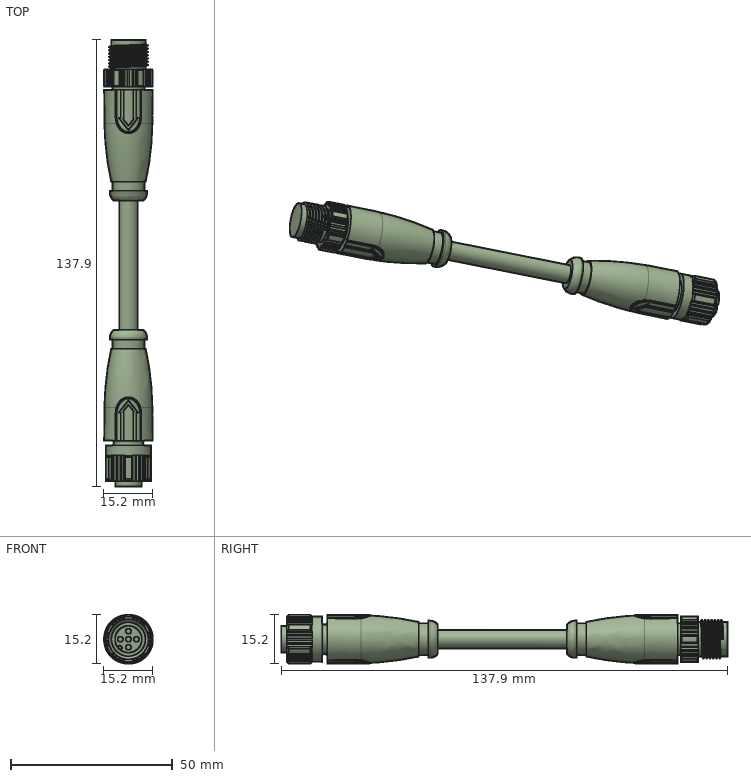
import cadquery as cq
import math


TOTAL_LENGTH = 137.9
CABLE_RADIUS = 2.9
OUTER_RADIUS = 7.6

BODY_LENGTH = 28.3
BODY_RADIUS = 7.6
BODY_SHOULDER_RADIUS = 7.5
BODY_SHOULDER_DEPTH = 10.3
BODY_TAIL_RADIUS = 5.4
RELIEF_LENGTH = 2.9
RELIEF_RADIUS = 5.0
COLLAR_LENGTH = 3.0
COLLAR_RADIUS = 5.8
COLLAR_RIM_LENGTH = 0.5
COLLAR_TAIL_RADIUS = 4.5

PAD_LENGTH = 13.0
PAD_STRAIGHT = 8.3
PAD_HALF_WIDTH = 3.6
PAD_MOAT_WIDTH = 0.4
PAD_MOAT_FLOOR_RADIUS = 7.0
ARROW_SHAFT_LENGTH = 8.5
ARROW_SHAFT_HALF_WIDTH = 2.3
ARROW_HEAD_HALF_WIDTH = 3.0
ARROW_TIP = 12.4
ARROW_GROOVE_WIDTH = 0.8
ARROW_GROOVE_DEPTH = 0.4

GRIP_RADIUS = 7.0
LOBE_COUNT = 6
LOBE_PITCH = 360 / LOBE_COUNT
LOBE_TOP_HALF_WIDTH = 1.0
LOBE_FOOT_HALF_WIDTH = 1.4
GROOVE_RADIUS = 0.4
GROOVE_ANGLES = (14, 24, 36, 46)

THREAD_PITCH = 1.0
THREAD_ROOT_RADIUS = 5.4
THREAD_CREST_RADIUS = 6.0
THREAD_FOOT_WIDTH = 0.91
THREAD_SINK = 0.1
THREAD_START = 1.2
THREAD_END = 8.8
PLUG_GRIP_START = 9.1
PLUG_GRIP_END = 14.5
PLUG_BODY_START = 15.5
PLUG_LOBE_CHAMFER = 0.3

INSERT_RADIUS = 4.1
INSERT_PROUD = 1.7
SOCKET_GRIP_END = 9.7
SOCKET_NUT_END = 12.7
SOCKET_BODY_START = 14.2
SOCKET_LOBE_CHAMFER = 0.7
NECK_WAIST = 0.4
BORE_RADIUS = 5.2
BORE_MOUTH_RADIUS = 6.2
BORE_MOUTH_DEPTH = 1.0
BORE_DEPTH = 6.9
CONTACT_CIRCLE_RADIUS = 2.5
CONTACT_RADIUS = 0.8
OUTER_CONTACT_COUNT = 4
CONTACT_DEPTH = 4.1
KEYWAY_WIDTH = 1.1
KEYWAY_HEIGHT = 1.0
KEYWAY_LENGTH = 6.9
KEYWAY_ANGLE = 135


def cylinder(radius, start, end):
    return cq.Workplane("XY").workplane(offset=start).circle(radius).extrude(end - start)


def pad_outline(start, margin):
    """Bullet shape of the pad, square at the nut end and widened all round by a margin."""
    half_width = PAD_HALF_WIDTH + margin
    shoulder = start + PAD_STRAIGHT
    tip = start + PAD_LENGTH + margin
    return (
        cq.Workplane("XZ")
        .moveTo(half_width, start)
        .lineTo(half_width, shoulder)
        .ellipseArc(half_width, tip - shoulder, 0, 90, startAtCurrent=True)
        .ellipseArc(half_width, tip - shoulder, 90, 180, startAtCurrent=True)
        .lineTo(-half_width, start)
        .close()
    )


def arrow_outline(start):
    """Arrow pointing to the cable, its tail running out past the nut end of the body."""
    shaft_end = start + ARROW_SHAFT_LENGTH
    return (
        cq.Workplane("XZ")
        .moveTo(-ARROW_SHAFT_HALF_WIDTH, start - ARROW_GROOVE_WIDTH)
        .lineTo(-ARROW_SHAFT_HALF_WIDTH, shaft_end)
        .lineTo(-ARROW_HEAD_HALF_WIDTH, shaft_end)
        .lineTo(0, start + ARROW_TIP)
        .lineTo(ARROW_HEAD_HALF_WIDTH, shaft_end)
        .lineTo(ARROW_SHAFT_HALF_WIDTH, shaft_end)
        .lineTo(ARROW_SHAFT_HALF_WIDTH, start - ARROW_GROOVE_WIDTH)
        .close()
    )


def grip_body(start):
    """Barrel, relief groove and rounded collar behind the nut."""
    tail = start + BODY_LENGTH
    collar = tail + RELIEF_LENGTH
    end = collar + COLLAR_LENGTH
    body = (
        cq.Workplane("XZ")
        .moveTo(0, start)
        .lineTo(BODY_RADIUS, start)
        .lineTo(BODY_SHOULDER_RADIUS, start + BODY_SHOULDER_DEPTH)
        .tangentArcPoint((BODY_TAIL_RADIUS, tail), relative=False)
        .lineTo(RELIEF_RADIUS, tail)
        .lineTo(RELIEF_RADIUS, collar)
        .lineTo(COLLAR_RADIUS, collar)
        .lineTo(COLLAR_RADIUS, collar + COLLAR_RIM_LENGTH)
        .tangentArcPoint((COLLAR_TAIL_RADIUS, end), relative=False)
        .lineTo(0, end)
        .close()
        .revolve(360, (0, 0, 0), (0, 1, 0))
    )
    reach = 2 * OUTER_RADIUS
    moat = (
        pad_outline(start, PAD_MOAT_WIDTH)
        .extrude(reach, both=True)
        .cut(cylinder(PAD_MOAT_FLOOR_RADIUS, start, start + BODY_LENGTH))
    )
    pad = (
        pad_outline(start, 0)
        .extrude(reach, both=True)
        .intersect(cylinder(OUTER_RADIUS, start, start + PAD_LENGTH))
    )
    groove = (
        arrow_outline(start).extrude(reach, both=True)
        .cut(arrow_outline(start).offset2D(-ARROW_GROOVE_WIDTH).extrude(reach, both=True))
        .cut(cylinder(OUTER_RADIUS - ARROW_GROOVE_DEPTH, start - ARROW_GROOVE_WIDTH, start + PAD_LENGTH))
    )
    return body.cut(moat).union(pad).cut(groove)


def grip_ring(start, end, first_lobe_angle, lobe_chamfer):
    """Ring with raised lobes and fine axial grooves between them."""
    ring = cylinder(GRIP_RADIUS, start, end)
    lobe = (
        cq.Workplane("XY")
        .workplane(offset=start)
        .polyline([
            (0, -LOBE_FOOT_HALF_WIDTH),
            (GRIP_RADIUS - GROOVE_RADIUS, -LOBE_FOOT_HALF_WIDTH),
            (OUTER_RADIUS, -LOBE_TOP_HALF_WIDTH),
            (OUTER_RADIUS, LOBE_TOP_HALF_WIDTH),
            (GRIP_RADIUS - GROOVE_RADIUS, LOBE_FOOT_HALF_WIDTH),
            (0, LOBE_FOOT_HALF_WIDTH),
        ])
        .close()
        .extrude(end - start)
        .intersect(cylinder(OUTER_RADIUS, start, end).edges().chamfer(lobe_chamfer))
    )
    for index in range(LOBE_COUNT):
        lobe_angle = first_lobe_angle + index * LOBE_PITCH
        for groove_angle in GROOVE_ANGLES:
            angle = math.radians(lobe_angle + groove_angle)
            groove = cylinder(GROOVE_RADIUS, start, end).translate(
                (GRIP_RADIUS * math.cos(angle), GRIP_RADIUS * math.sin(angle), 0)
            )
            ring = ring.cut(groove)
        ring = ring.union(lobe.rotate((0, 0, 0), (0, 0, 1), lobe_angle))
    return ring


def screw_thread():
    """Helical V ridge, its foot sunk slightly into the core."""
    foot_radius = THREAD_ROOT_RADIUS - THREAD_SINK
    half_foot = THREAD_FOOT_WIDTH / 2
    height = THREAD_END - THREAD_START - 2 * half_foot
    helix = cq.Wire.makeHelix(THREAD_PITCH, height, foot_radius)
    ridge = (
        cq.Workplane("XZ")
        .polyline([
            (foot_radius, -half_foot),
            (THREAD_CREST_RADIUS, 0),
            (foot_radius, half_foot),
        ])
        .close()
        .sweep(cq.Workplane(helix), isFrenet=True)
    )
    return ridge.translate((0, 0, THREAD_START + half_foot))


def plug():
    core = cylinder(THREAD_ROOT_RADIUS, 0, PLUG_GRIP_START)
    neck = cylinder(RELIEF_RADIUS, PLUG_GRIP_END, PLUG_BODY_START)
    grip = grip_ring(PLUG_GRIP_START, PLUG_GRIP_END, 0, PLUG_LOBE_CHAMFER)
    return core.union(screw_thread()).union(grip).union(neck).union(grip_body(PLUG_BODY_START))


def socket_bore():
    """Cavity around the insert, flared at its mouth."""
    mouth = INSERT_PROUD
    return (
        cq.Workplane("XZ")
        .polyline([
            (INSERT_RADIUS, mouth),
            (BORE_MOUTH_RADIUS, mouth),
            (BORE_RADIUS, mouth + BORE_MOUTH_DEPTH),
            (BORE_RADIUS, mouth + BORE_DEPTH),
            (INSERT_RADIUS, mouth + BORE_DEPTH),
        ])
        .close()
        .revolve(360, (0, 0, 0), (0, 1, 0))
    )


def socket_neck():
    """Short waisted neck between nut and body."""
    middle = (SOCKET_NUT_END + SOCKET_BODY_START) / 2
    return (
        cq.Workplane("XZ")
        .moveTo(0, SOCKET_NUT_END)
        .lineTo(RELIEF_RADIUS, SOCKET_NUT_END)
        .threePointArc((RELIEF_RADIUS - NECK_WAIST, middle), (RELIEF_RADIUS, SOCKET_BODY_START))
        .lineTo(0, SOCKET_BODY_START)
        .close()
        .revolve(360, (0, 0, 0), (0, 1, 0))
    )


def socket():
    insert = cylinder(INSERT_RADIUS, 0, SOCKET_GRIP_END)
    grip = grip_ring(INSERT_PROUD, SOCKET_GRIP_END, LOBE_PITCH / 2, SOCKET_LOBE_CHAMFER)
    ring = cylinder(GRIP_RADIUS, SOCKET_GRIP_END, SOCKET_NUT_END)
    nut = grip.union(ring).cut(socket_bore())
    contacts = (
        cq.Workplane("XY")
        .polarArray(CONTACT_CIRCLE_RADIUS, 0, 360, OUTER_CONTACT_COUNT)
        .circle(CONTACT_RADIUS)
        .extrude(CONTACT_DEPTH)
        .union(cylinder(CONTACT_RADIUS, 0, CONTACT_DEPTH))
    )
    keyway = (
        cq.Workplane("XY")
        .center(INSERT_RADIUS, 0)
        .rect(2 * KEYWAY_HEIGHT, KEYWAY_WIDTH)
        .extrude(KEYWAY_LENGTH)
        .intersect(cylinder(INSERT_RADIUS, 0, KEYWAY_LENGTH))
        .rotate((0, 0, 0), (0, 0, 1), KEYWAY_ANGLE)
    )
    head = nut.union(insert).cut(contacts).cut(keyway)
    return head.union(socket_neck()).union(grip_body(SOCKET_BODY_START))


def place(connector, side):
    """Lay a connector along Y with its free end at the +Y (side = 1) or -Y (side = -1) end."""
    return connector.rotate((0, 0, 0), (1, 0, 0), side * 90).translate((0, side * TOTAL_LENGTH / 2, 0))


cable = (
    cq.Workplane("XZ", origin=(0, TOTAL_LENGTH / 2 - PLUG_BODY_START - BODY_LENGTH, 0))
    .circle(CABLE_RADIUS)
    .extrude(TOTAL_LENGTH - PLUG_BODY_START - SOCKET_BODY_START - 2 * BODY_LENGTH)
)

result = cable.union(place(plug(), 1)).union(place(socket(), -1))